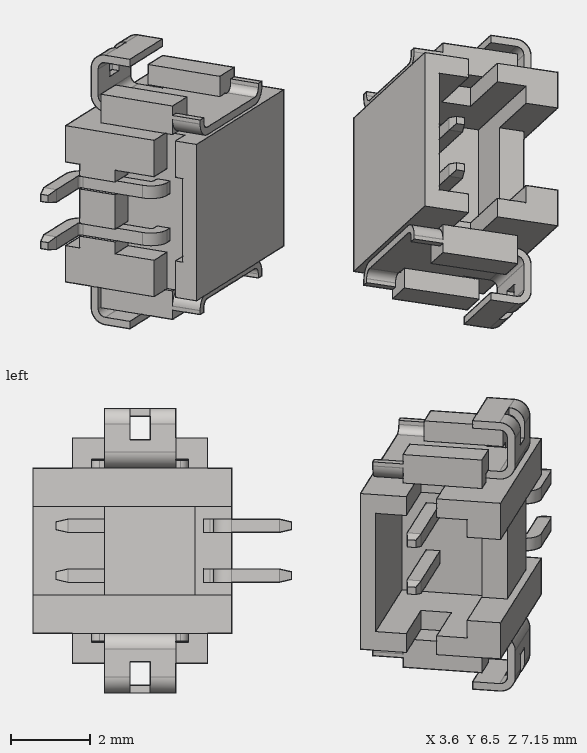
import cadquery as cq


body_height = 3.6
body_depth = 5.0
body_half = 2.07
window_half = 1.11
web_x = 0.2
web_y = (0.92, 3.2)
front_relief_x = 0.4
recess_x = (1.4, 3.2)
recess_depth = 0.715
gap_x = (2.5, 3.0)
flange_setback = 0.2
cavity_x = (0.86, 3.2)
cavity_half = 1.57
cavity_floor_y = 1.79
side_slot_x = (1.64, 2.42)

block_x = (0.685, 2.71)
block_width = 0.8
block_top = 2.83
block_span_y = (0.61, 4.005)
clip_mid_y = sum(block_span_y) / 2
clip_slot_clearance = 0.02

sheet = 0.2
bend_inner = sheet
bend_outer = bend_inner + sheet
clip_top = 3.575
foot_length = 1.095
tongue_width = 1.795
clip_end_x = 3.49
clip_plate_x = 1.095
clip_plate_width = 2.43
clip_corner = 0.2
clip_lip_top = 2.58
foot_hole_width = 0.5
foot_hole_z = 2.79

pin_pitch = 1.25
pin_positions = (-pin_pitch / 2, pin_pitch / 2)
pin_width = 0.335
pin_thick = 0.36
pin_bend_inner = 0.09
pin_bend_outer = pin_bend_inner + pin_thick
tail_y = -1.5
contact_y = 4.42
contact_top_x = 2.58
leg_y = 0.1
tip_length = 0.31
tip_inset = 0.07


def span_box(xs, ys, zs):
    """Box between two limits on each axis."""
    size = (xs[1] - xs[0], ys[1] - ys[0], zs[1] - zs[0])
    return cq.Workplane("XY").box(*size, centered=False).translate((xs[0], ys[0], zs[0]))


def centred_span(middle, width):
    """Limits of a width centred on a point."""
    return (middle - width / 2, middle + width / 2)


def make_housing():
    full_z = (-body_half, body_half)
    window_z = (-window_half, window_half)
    cavity_z = (-cavity_half, cavity_half)
    body = span_box((0, body_height), (0, body_depth), full_z)
    cuts = [
        span_box((0, front_relief_x), (0, web_y[0]), window_z),
        span_box((0, web_x), web_y, window_z),
        span_box((0, cavity_x[0]), (web_y[1], body_depth), window_z),
        span_box(cavity_x, (cavity_floor_y, body_depth), cavity_z),
        span_box(side_slot_x, (web_y[1], body_depth), full_z),
        span_box(recess_x, (0, recess_depth), window_z),
        span_box(gap_x, (0, recess_depth), full_z),
        span_box((gap_x[1], body_height), (0, flange_setback), full_z),
    ]
    for z in pin_positions:
        slot_z = centred_span(z, pin_width)
        cuts.append(span_box((front_relief_x, recess_x[0]), (0, recess_depth), slot_z))
    for cut in cuts:
        body = body.cut(cut)
    return body


def make_blocks():
    """Pair of blocks on the +Z side wall, undercut to hold the clip plate."""
    block_z = (body_half, block_top)
    low, high = block_span_y
    blocks = span_box(block_x, (low, low + block_width), block_z)
    blocks = blocks.union(span_box(block_x, (high - block_width, high), block_z))
    undercut_z = (body_half, body_half + sheet + clip_slot_clearance)
    return blocks.cut(span_box(block_x, centred_span(clip_mid_y, clip_plate_width), undercut_z))


def make_clip():
    """Solder clip on the +Z side wall: C-shaped foot, wide plate and upturned lips."""
    tongue_y = centred_span(clip_mid_y, tongue_width)
    plate_z = (body_half, body_half + sheet)
    inside_z = (body_half + sheet, clip_top - sheet)

    foot = span_box((0, foot_length), tongue_y, (body_half, clip_top))
    foot = foot.edges("|Y and <X").fillet(bend_outer)
    foot_inside = span_box((sheet, clip_end_x), tongue_y, inside_z)
    foot = foot.cut(foot_inside.edges("|Y and <X").fillet(bend_inner))
    hole_y = centred_span(clip_mid_y, foot_hole_width)
    foot = foot.cut(span_box((0, bend_outer), hole_y, (foot_hole_z, clip_top)))

    plate = span_box((clip_plate_x, block_x[1]), centred_span(clip_mid_y, clip_plate_width), plate_z)
    plate = plate.edges("|Z and <X").fillet(clip_corner)

    lip_x = (block_x[1], clip_end_x)
    lips = span_box(lip_x, block_span_y, (body_half, clip_lip_top))
    lips = lips.edges("|X and <Z").fillet(bend_outer)
    lip_inside_y = (block_span_y[0] + sheet, block_span_y[1] - sheet)
    lip_inside = span_box(lip_x, lip_inside_y, (plate_z[1], clip_lip_top))
    lips = lips.cut(lip_inside.edges("|X and <Z").fillet(bend_inner))
    return foot.union(plate).union(lips)


def pin_tip(x, base_y, tip_y):
    """Tapered end of a pin, centred at x, from its base to its tip."""
    length = base_y - tip_y
    return (
        cq.Workplane("XZ", origin=(x, base_y, 0))
        .rect(pin_thick, pin_width)
        .workplane(offset=length)
        .rect(pin_thick - 2 * tip_inset, pin_width - 2 * tip_inset)
        .loft()
    )


def make_pin():
    """Pin at Z = 0: tail along -Y, leg along X, contact along +Y."""
    tail_base = tail_y + tip_length
    contact_base = contact_y - tip_length
    leg_y_span = (leg_y, leg_y + pin_thick)
    pin_z = centred_span(0, pin_width)

    tail = span_box((0, contact_top_x), (tail_base, leg_y_span[1]), pin_z)
    tail = tail.edges("|Z and <X and >Y").fillet(pin_bend_outer)
    tail_inside = span_box((pin_thick, contact_top_x), (tail_base, leg_y), pin_z)
    tail = tail.cut(tail_inside.edges("|Z and <X and >Y").fillet(pin_bend_inner))

    contact_x = contact_top_x - pin_thick
    contact = span_box((0, contact_top_x), (leg_y, contact_base), pin_z)
    contact = contact.edges("|Z and >X and <Y").fillet(pin_bend_outer)
    contact_inside = span_box((0, contact_x), (leg_y_span[1], contact_base), pin_z)
    contact = contact.cut(contact_inside.edges("|Z and >X and <Y").fillet(pin_bend_inner))

    mid_x = contact_top_x / 2
    beyond_mid = span_box((mid_x, contact_top_x), (tail_base, contact_base), pin_z)
    pin = tail.cut(beyond_mid).union(contact.intersect(beyond_mid))
    pin = pin.union(pin_tip(pin_thick / 2, tail_base, tail_y))
    return pin.union(pin_tip(contact_x + pin_thick / 2, contact_base, contact_y))


side_fittings = make_blocks().union(make_clip())

result = make_housing().union(side_fittings).union(side_fittings.mirror("XY"))
pin = make_pin()
for pin_z in pin_positions:
    result = result.union(pin.translate((0, 0, pin_z)))